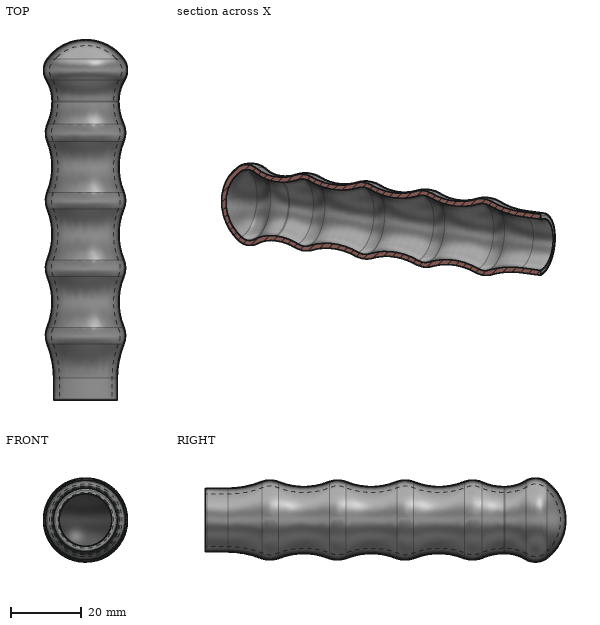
import cadquery as cq
import math

length = 103.0
wall = 1.6

ridge_count = 4
ridge_pitch = 19.3
first_ridge_y = 18.5
ridge_radius = 11.45
ridge_round = 6.2
valley_radius = 9.55

collar_radius = 9.1
collar_length = 6.45
rim_round = 0.5

head_radius = 12.0
head_y = 94.3
head_round = 5.4
neck_y = 85.55
neck_band = 0.3

head_rounding_r = head_radius - head_round
cap_reach = length - head_round - head_y
cap_offset = (cap_reach**2 - head_rounding_r**2) / (2 * cap_reach)
cap_center = (0, head_y + cap_offset)


def on_circle(center, radius, angle):
    """Point (r, y) on a circle, with the angle measured from the outward direction toward +Y."""
    return (center[0] + radius * math.cos(angle), center[1] + radius * math.sin(angle))


def flank(crest, floor):
    """Concave arc that is level at floor (r, y) and tangent to the convex arc of a crest.

    The crest is given as (crest radius, crest y, rounding radius).
    Returns the middle point of the concave arc and its tangent point on the crest.
    """
    crest_radius, crest_y, rounding = crest
    center = (crest_radius - rounding, crest_y)
    span = floor[1] - center[1]
    rise = floor[0] - center[0]
    hollow = (span**2 + rise**2 - rounding**2) / (2 * (rounding - rise))
    angle = math.asin(span / (hollow + rounding))
    hollow_center = (floor[0] + hollow, floor[1])
    middle = on_circle(hollow_center, hollow, math.pi + angle / 2)
    tangent = on_circle(center, rounding, angle)
    return middle, tangent


def add_crest(profile, crest, floor_below, floor_above):
    """Climb from floor_below over the crest and down to floor_above."""
    middle_below, tangent_below = flank(crest, floor_below)
    middle_above, tangent_above = flank(crest, floor_above)
    top = (crest[0], crest[1])
    profile = profile.threePointArc(middle_below, tangent_below)
    profile = profile.threePointArc(top, tangent_above)
    return profile.threePointArc(middle_above, floor_above)


def add_ridges(profile, inset):
    """Run over all finger ridges, from the end of the collar to the band below the neck."""
    floor = (collar_radius - inset, collar_length)
    for index in range(ridge_count):
        ridge_y = first_ridge_y + index * ridge_pitch
        is_last = index == ridge_count - 1
        next_floor_y = neck_y - neck_band if is_last else ridge_y + ridge_pitch / 2
        next_floor = (valley_radius - inset, next_floor_y)
        crest = (ridge_radius - inset, ridge_y, ridge_round - inset)
        profile = add_crest(profile, crest, floor, next_floor)
        floor = next_floor
    return profile


def add_head(profile, inset):
    """Climb from the neck onto the rounded head and close it with the tangent spherical cap."""
    neck = (valley_radius - inset, neck_y)
    head = (head_radius - inset, head_y, head_round - inset)
    middle, tangent = flank(head, neck)
    profile = profile.lineTo(*neck).threePointArc(middle, tangent)

    cap_radius = length - inset - cap_center[1]
    cap_angle = math.atan2(-cap_offset, head_rounding_r)
    cap_start = on_circle(cap_center, cap_radius, cap_angle)
    cap_middle = on_circle(cap_center, cap_radius, (cap_angle + math.pi / 2) / 2)
    profile = profile.threePointArc((head_radius - inset, head_y), cap_start)
    return profile.threePointArc(cap_middle, (0, length - inset))


def make_form(inset):
    """Solid of the grip shape, with its surface moved inward by inset except at the open end."""
    radius = collar_radius - inset
    profile = cq.Workplane("XY").lineTo(radius, 0).lineTo(radius, collar_length)
    profile = add_ridges(profile, inset)
    profile = add_head(profile, inset)
    return profile.close().revolve(360, (0, 0, 0), (0, 1, 0))


outside = make_form(0).faces("<Y").edges().fillet(rim_round)
cavity = make_form(wall)
result = outside.cut(cavity)